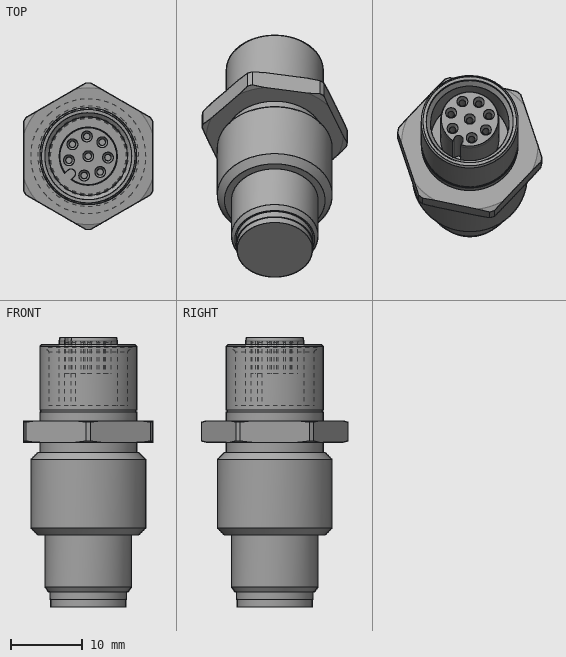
import cadquery as cq
import math

TOTAL_HEIGHT = 37.5
FOOT_TOP = 1.05
NECK_TOP = 2.1
PLUG_CONE_TOP = 2.8
BODY_BOTTOM = 10.0
BODY_TOP = 21.5
NUT_BOTTOM = 22.9
NUT_THICKNESS = 3.0
GROOVE_BOTTOM = 27.1
GROOVE_WIDTH = 0.3
SLEEVE_TOP = TOTAL_HEIGHT - 1.0

FOOT_RADIUS = 5.25
NECK_RADIUS = 5.35
PLUG_RADIUS = 6.03
PLUG_CONE_RADIUS = 5.55
BODY_RADIUS = 8.0
BODY_CHAMFER = 1.0
SLEEVE_RADIUS = 6.75
SLEEVE_CHAMFER = 0.25
GROOVE_DEPTH = 0.12

SOCKET_RADIUS = 5.45
SOCKET_MOUTH_RADIUS = 6.05
SOCKET_MOUTH_DEPTH = 0.4
SOCKET_CONE_BOTTOM_DEPTH = 1.0
SOCKET_DEPTH = 8.5
INSERT_RADIUS = 4.05
INSERT_TAPER = 0.1
INSERT_TAPER_HEIGHT = 0.5

NUT_ACROSS_FLATS = 18.0
NUT_CORNER_RADIUS = 10.2
NUT_FACE_RADIUS = 9.5
NUT_CHAMFER_HEIGHT = 0.2

CONTACT_CIRCLE_RADIUS = 2.75
CONTACT_COUNT = 7
CONTACT_GAP_AT_KEY = 66.0
CONTACT_RADIUS = 0.45
CONTACT_MOUTH_RADIUS = 0.75
CONTACT_CONE_ANGLE = 45.0
CONTACT_DEPTH = 5.0
KEY_ANGLE = 225.0
KEY_RADIUS = 0.63
KEY_CENTER_DISTANCE = 3.4


def make_body():
    """Solid of revolution including the sleeve, socket ring and insert."""
    groove_top = GROOVE_BOTTOM + GROOVE_WIDTH
    groove_radius = SLEEVE_RADIUS - GROOVE_DEPTH
    body_end_radius = BODY_RADIUS - BODY_CHAMFER
    socket_floor = SLEEVE_TOP - SOCKET_DEPTH
    profile = [
        (0, 0),
        (FOOT_RADIUS, 0),
        (FOOT_RADIUS, FOOT_TOP),
        (NECK_RADIUS, FOOT_TOP),
        (NECK_RADIUS, NECK_TOP),
        (PLUG_CONE_RADIUS, NECK_TOP),
        (PLUG_RADIUS, PLUG_CONE_TOP),
        (PLUG_RADIUS, BODY_BOTTOM),
        (body_end_radius, BODY_BOTTOM),
        (BODY_RADIUS, BODY_BOTTOM + BODY_CHAMFER),
        (BODY_RADIUS, BODY_TOP - BODY_CHAMFER),
        (body_end_radius, BODY_TOP),
        (SLEEVE_RADIUS, BODY_TOP),
        (SLEEVE_RADIUS, GROOVE_BOTTOM),
        (groove_radius, GROOVE_BOTTOM),
        (groove_radius, groove_top),
        (SLEEVE_RADIUS, groove_top),
        (SLEEVE_RADIUS, SLEEVE_TOP - SLEEVE_CHAMFER),
        (SLEEVE_RADIUS - SLEEVE_CHAMFER, SLEEVE_TOP),
        (SOCKET_MOUTH_RADIUS, SLEEVE_TOP),
        (SOCKET_MOUTH_RADIUS, SLEEVE_TOP - SOCKET_MOUTH_DEPTH),
        (SOCKET_RADIUS, SLEEVE_TOP - SOCKET_CONE_BOTTOM_DEPTH),
        (SOCKET_RADIUS, socket_floor),
        (INSERT_RADIUS, socket_floor),
        (INSERT_RADIUS, TOTAL_HEIGHT - INSERT_TAPER_HEIGHT),
        (INSERT_RADIUS - INSERT_TAPER, TOTAL_HEIGHT),
        (0, TOTAL_HEIGHT),
    ]
    return revolve_profile(profile)


def revolve_profile(profile):
    """Turn a closed (radius, height) outline around the Z axis."""
    return cq.Workplane("XZ").polyline(profile).close().revolve(360, (0, 0, 0), (0, 1, 0))


def make_nut():
    """Hexagonal ring with flats on +X and -X and turned, chamfered corners."""
    bore_radius = (SLEEVE_RADIUS + SOCKET_RADIUS) / 2
    across_corners = NUT_ACROSS_FLATS / math.cos(math.radians(30))
    hexagon = (
        cq.Workplane("XY")
        .polygon(6, across_corners)
        .extrude(NUT_THICKNESS)
        .rotate((0, 0, 0), (0, 0, 1), 30)
    )
    turned_blank = revolve_profile([
        (bore_radius, 0),
        (NUT_FACE_RADIUS, 0),
        (NUT_CORNER_RADIUS, NUT_CHAMFER_HEIGHT),
        (NUT_CORNER_RADIUS, NUT_THICKNESS - NUT_CHAMFER_HEIGHT),
        (NUT_FACE_RADIUS, NUT_THICKNESS),
        (bore_radius, NUT_THICKNESS),
    ])
    return hexagon.intersect(turned_blank).translate((0, 0, NUT_BOTTOM))


def contact_positions():
    """The centre and the ring of contacts, with a wider gap at the key."""
    step = (360 - CONTACT_GAP_AT_KEY) / (CONTACT_COUNT - 1)
    positions = [(0, 0)]
    for index in range(CONTACT_COUNT):
        angle = math.radians(KEY_ANGLE + CONTACT_GAP_AT_KEY / 2 + index * step)
        x = CONTACT_CIRCLE_RADIUS * math.cos(angle)
        y = CONTACT_CIRCLE_RADIUS * math.sin(angle)
        positions.append((x, y))
    return positions


def cut_contacts(part):
    """Blind countersunk holes in the end of the insert."""
    return (
        part.copyWorkplane(cq.Workplane("XY", origin=(0, 0, TOTAL_HEIGHT)))
        .pushPoints(contact_positions())
        .cskHole(2 * CONTACT_RADIUS, 2 * CONTACT_MOUTH_RADIUS, CONTACT_CONE_ANGLE, CONTACT_DEPTH)
    )


def cut_key_slot(part):
    """Round-bottomed slot down the side of the insert, to the socket floor."""
    slot_height = TOTAL_HEIGHT - SLEEVE_TOP + SOCKET_DEPTH
    slot_end = (INSERT_RADIUS + SOCKET_RADIUS) / 2
    slot = (
        cq.Workplane("XY", origin=(0, 0, TOTAL_HEIGHT - slot_height))
        .moveTo(slot_end, KEY_RADIUS)
        .lineTo(KEY_CENTER_DISTANCE, KEY_RADIUS)
        .threePointArc((KEY_CENTER_DISTANCE - KEY_RADIUS, 0), (KEY_CENTER_DISTANCE, -KEY_RADIUS))
        .lineTo(slot_end, -KEY_RADIUS)
        .close()
        .extrude(slot_height)
        .rotate((0, 0, 0), (0, 0, 1), KEY_ANGLE)
    )
    return part.cut(slot)


connector = make_body().union(make_nut())
connector = cut_contacts(connector)
result = cut_key_slot(connector)